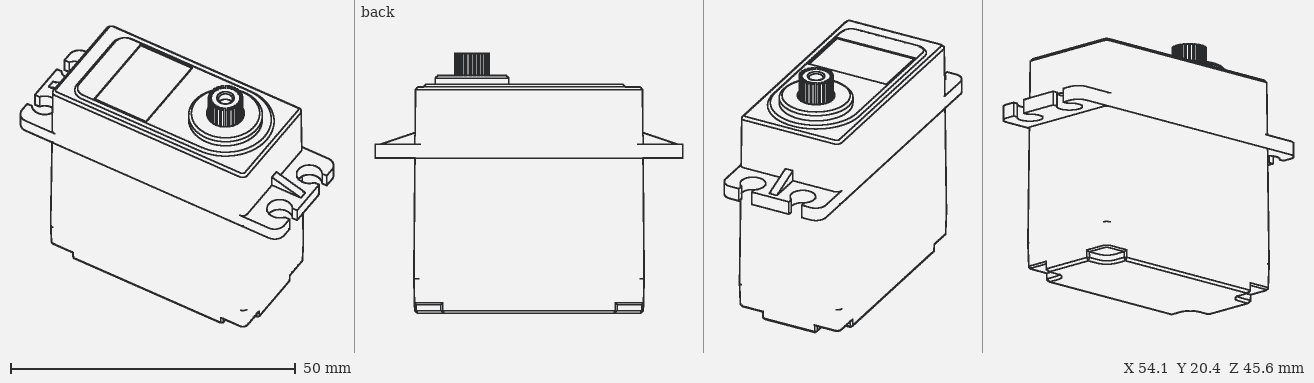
import cadquery as cq
import math


case_length = 40.5
case_width = 20.4
draft_line_z = 6.1
upper_draft = 0.5
lower_draft = 1.5
corner_radius = 0.95
parting_z = 27.25
case_top_z = 39.8
top_chamfer = 0.5
bottom_chamfer = 0.5

notch_size = 4.75
notch_height = 1.5
notch_radius = 2.0
notch_chamfer = 0.3

ear_span = 54.05
ear_thickness = 2.5
ear_corner_radius = 2.0
screw_hole_diameter = 4.5
screw_hole_x = 24.2
screw_hole_y = 4.95
screw_slot_width = 2.55
rib_width = 1.5
rib_height = 2.0
rib_tip_x = 26.0

shaft_x = 10.0
platform_height = 0.5
platform_root = 0.25
platform_end_diameter = 17.1
platform_left_x = -16.9
platform_corner_radius = 2.5
recess_left_x = -12.25
recess_length = 10.65
recess_width = 15.55
recess_depth = 0.2
collar_diameter = 12.95
collar_height = 1.5
collar_chamfer = 0.5
shaft_hole_diameter = 6.1
shaft_hole_mouth_chamfer = 0.245

shaft_diameter = 6.0
shaft_top_z = 45.65
tooth_count = 25
groove_depth = 0.5
groove_width = 0.3
bore_diameter = 2.5
bore_mouth_diameter = 3.0
bore_depth = 1.6

platform_top_z = case_top_z + platform_height
collar_top_z = platform_top_z + collar_height
notch_inner_x = case_length / 2 - notch_size
notch_inner_y = case_width / 2 - notch_size
case_end_x = case_length / 2 - (parting_z - draft_line_z) * math.tan(math.radians(upper_draft))
corner_signs = [(sign_x, sign_y) for sign_x in (-1, 1) for sign_y in (-1, 1)]


def plane_at(z, x=0, y=0):
    return cq.Workplane("XY", origin=(x, y, z))


def drafted_block(length, height, draft):
    """Block of the case width on the draft line; a negative height goes down."""
    return plane_at(draft_line_z).rect(length, case_width).extrude(height, taper=draft)


def rounded_case_block(height, draft):
    block = drafted_block(case_length, height, draft)
    return block.edges("not(|X or |Y)").fillet(corner_radius)


def level_slab(bottom_z, top_z, length):
    """Block of a given length, wider than the case, between two heights."""
    return plane_at(bottom_z).rect(length, 2 * case_width).extrude(top_z - bottom_z)




def corner_notch(sign_x, sign_y):
    """Cutter for one bottom corner, with a rounded inner corner."""
    cutter = (
        plane_at(0)
        .moveTo(notch_inner_x, notch_inner_y)
        .rect(case_length, case_width, centered=False)
        .extrude(notch_height)
        .edges("|Z and <X and <Y")
        .fillet(notch_radius)
    )
    if sign_x < 0:
        cutter = cutter.mirror("YZ")
    if sign_y < 0:
        cutter = cutter.mirror("XZ")
    return cutter


def is_notch_outline(edge):
    """True for the edges that the notches leave on the outer sides of the case."""
    center = edge.Center()
    on_end = abs(center.x) > case_length / 2 - corner_radius
    on_side = abs(center.y) > case_width / 2 - corner_radius
    return notch_chamfer < center.z < draft_line_z / 2 and (on_end or on_side)


def make_lower_case(upper_block):
    base = rounded_case_block(-draft_line_z, lower_draft)
    for sign_x, sign_y in corner_signs:
        base = base.cut(corner_notch(sign_x, sign_y))
    base = base.edges().filter(is_notch_outline).chamfer(notch_chamfer)
    base = base.faces("<Z").edges().chamfer(bottom_chamfer)
    return base.union(upper_block.intersect(level_slab(draft_line_z, parting_z, case_length)))




def make_ears():
    """Plate reaching past both case ends, flush with the drafted case sides, with open screw holes."""
    long_block = drafted_block(2 * ear_span, case_top_z - draft_line_z, upper_draft)
    ears = long_block.intersect(level_slab(parting_z, parting_z + ear_thickness, ear_span))
    ears = ears.edges("not(|X or |Y)").fillet(ear_corner_radius)
    for sign_x, sign_y in corner_signs:
        hole_y = sign_y * screw_hole_y
        hole = plane_at(parting_z, sign_x * screw_hole_x, hole_y)
        hole = hole.circle(screw_hole_diameter / 2).extrude(ear_thickness)
        slot = plane_at(parting_z, sign_x * ear_span / 2, hole_y)
        slot = slot.rect(ear_span - 2 * screw_hole_x, screw_slot_width).extrude(ear_thickness)
        ears = ears.cut(hole).cut(slot)
    return ears


def make_rib(sign_x):
    """Sloping rib from the case end down to the ear; its root reaches into the case."""
    root_x = case_end_x - top_chamfer
    slope = rib_height / (rib_tip_x - case_end_x)
    ear_top_z = parting_z + ear_thickness
    return (
        cq.Workplane("XZ")
        .moveTo(sign_x * rib_tip_x, ear_top_z)
        .lineTo(sign_x * root_x, ear_top_z)
        .lineTo(sign_x * root_x, ear_top_z + slope * (rib_tip_x - root_x))
        .close()
        .extrude(rib_width / 2, both=True)
    )


def make_platform():
    """Raised platform with a round end about the shaft, and a shallow label recess."""
    end_radius = platform_end_diameter / 2
    platform = (
        plane_at(case_top_z - platform_root)
        .moveTo(platform_left_x, end_radius)
        .lineTo(shaft_x, end_radius)
        .threePointArc((shaft_x + end_radius, 0), (shaft_x, -end_radius))
        .lineTo(platform_left_x, -end_radius)
        .close()
        .extrude(platform_height + platform_root)
        .edges("|Z and <X")
        .fillet(platform_corner_radius)
        .faces(">Z")
        .edges()
        .chamfer(platform_height)
    )
    recess = (
        plane_at(platform_top_z - recess_depth)
        .moveTo(recess_left_x, -recess_width / 2)
        .rect(recess_length, recess_width, centered=False)
        .extrude(recess_depth)
    )
    return platform.cut(recess)


def make_collar():
    collar = plane_at(platform_top_z, shaft_x).circle(collar_diameter / 2).extrude(collar_height)
    return collar.faces(">Z").edges().chamfer(collar_chamfer)


def make_shaft_hole():
    """Cutter for the shaft hole, flared at its mouth."""
    radius = shaft_hole_diameter / 2
    flare = shaft_hole_mouth_chamfer
    return (
        cq.Workplane("XZ", origin=(shaft_x, 0, 0))
        .moveTo(0, case_top_z)
        .lineTo(radius, case_top_z)
        .lineTo(radius, collar_top_z - flare)
        .lineTo(radius + flare, collar_top_z)
        .lineTo(0, collar_top_z)
        .close()
        .revolve(360, (0, 0, 0), (0, 1, 0))
    )


def make_upper_case(upper_block):
    case = upper_block.intersect(level_slab(parting_z, case_top_z, case_length))
    case = case.union(make_ears())
    for sign_x in (-1, 1):
        case = case.union(make_rib(sign_x))
    case = case.union(make_platform()).union(make_collar())
    return case.cut(make_shaft_hole())




def make_output_shaft():
    """Splined shaft standing on the floor of the shaft hole, with a blind screw bore."""
    shaft_length = shaft_top_z - case_top_z
    shaft = plane_at(case_top_z, shaft_x).circle(shaft_diameter / 2).extrude(shaft_length)
    grooves = (
        plane_at(case_top_z, shaft_x)
        .polarArray(shaft_diameter / 2, -90, 360, tooth_count)
        .rect(2 * groove_depth, groove_width)
        .extrude(shaft_length)
    )
    bore = plane_at(shaft_top_z - bore_depth, shaft_x).circle(bore_diameter / 2).extrude(bore_depth)
    shaft = shaft.cut(grooves).cut(bore)
    mouth_edge = shaft.faces(">Z").edges(cq.selectors.RadiusNthSelector(0))
    return mouth_edge.chamfer((bore_mouth_diameter - bore_diameter) / 2)


case_above_draft_line = rounded_case_block(case_top_z - draft_line_z, upper_draft)
case_above_draft_line = case_above_draft_line.faces(">Z").edges().chamfer(top_chamfer)

lower_case = make_lower_case(case_above_draft_line)
upper_case = make_upper_case(case_above_draft_line)
output_shaft = make_output_shaft()

result = cq.Compound.makeCompound([lower_case.val(), upper_case.val(), output_shaft.val()])